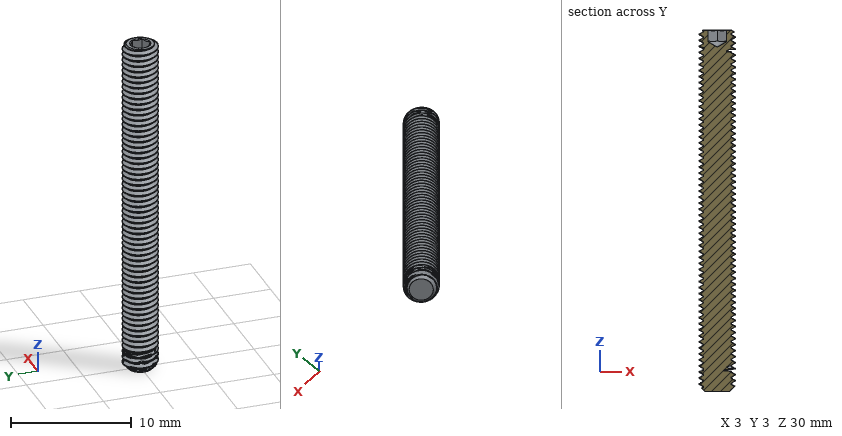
import cadquery as cq
import math

length = 30.0
major_diameter = 3.0
pitch = 0.5
thread_flank_angle = 30.0
crest_below_top = 0.10

point_diameter = 2.0
point_chamfer_angle = 45.0
top_diameter = 2.34
top_chamfer_angle = 30.0

socket_across_flats = 1.5
socket_depth = 0.9
socket_corner_angle = 30.0
floor_cone_angle = 60.0
countersink_diameter = 1.75
countersink_angle = 60.0

major_radius = major_diameter / 2
crest_width = pitch / 8
sharp_height = pitch * math.sqrt(3) / 2
thread_depth = sharp_height * 3 / 4
root_radius = major_radius - thread_depth
socket_corner_radius = socket_across_flats / 2 / math.cos(math.pi / 6)

spare_turns = 2
bar_overhang = 2 * spare_turns * pitch


def make_thread_groove():
    """Right-hand helical groove that runs a few turns past both ends of the screw."""
    clearance = 0.03
    flank_slope = math.tan(math.radians(thread_flank_angle))
    half_mouth = (pitch - crest_width) / 2
    half_root = half_mouth - thread_depth * flank_slope
    half_outer = half_mouth + clearance * flank_slope
    outer_radius = major_radius + clearance

    end_height = length - crest_below_top + (spare_turns + 0.5) * pitch
    turns = math.ceil(length / pitch) + 2 * spare_turns
    start_height = end_height - turns * pitch

    helix = cq.Wire.makeHelix(pitch, turns * pitch, root_radius, cq.Vector(0, 0, start_height))
    corners = [
        (root_radius, start_height - half_root),
        (outer_radius, start_height - half_outer),
        (outer_radius, start_height + half_outer),
        (root_radius, start_height + half_root),
    ]
    profile = cq.Workplane("XZ").polyline(corners).close()
    return profile.sweep(cq.Workplane(obj=helix), isFrenet=True)


def make_threaded_bar():
    """Overlong round bar with the thread cut into it."""
    bar = cq.Workplane("XY", origin=(0, 0, -bar_overhang)).circle(major_radius)
    bar = bar.extrude(length + 2 * bar_overhang)
    return bar.cut(make_thread_groove(), clean=False)


def make_end_envelope():
    """Solid of revolution that gives the screw its two chamfered ends."""
    point_radius = point_diameter / 2
    top_radius = top_diameter / 2
    wall_radius = major_diameter
    point_height = (wall_radius - point_radius) / math.tan(math.radians(point_chamfer_angle))
    top_height = (wall_radius - top_radius) * math.tan(math.radians(top_chamfer_angle))
    half_section = (
        cq.Workplane("XZ")
        .lineTo(point_radius, 0)
        .lineTo(wall_radius, point_height)
        .lineTo(wall_radius, length - top_height)
        .lineTo(top_radius, length)
        .lineTo(0, length)
        .close()
    )
    return half_section.revolve(360, (0, 0, 0), (0, 1, 0))


def make_downward_cone(radius, half_angle, base_height):
    """Cone on the screw axis with its tip pointing down."""
    height = radius / math.tan(math.radians(half_angle))
    base_centre = cq.Vector(0, 0, base_height)
    return cq.Solid.makeCone(radius, 0, height, base_centre, cq.Vector(0, 0, -1))


def make_socket():
    """Hexagon socket with a conical floor and a countersunk mouth."""
    floor_height = length - socket_depth
    floor_cone = make_downward_cone(socket_corner_radius, floor_cone_angle, floor_height)
    mouth_cone = make_downward_cone(countersink_diameter / 2, countersink_angle, length)
    bore = (
        cq.Workplane("XY", origin=(0, 0, floor_height))
        .circle(socket_corner_radius)
        .extrude(socket_depth)
        .union(floor_cone)
    )
    hexagon = (
        cq.Workplane("XY")
        .transformed(rotate=(0, 0, socket_corner_angle))
        .polygon(6, 2 * socket_corner_radius)
        .extrude(length)
    )
    return bore.intersect(hexagon).union(mouth_cone)


socketed_envelope = make_end_envelope().cut(make_socket())
screw = make_threaded_bar().intersect(socketed_envelope, clean=False)
result = cq.Workplane(obj=screw.solids().val())